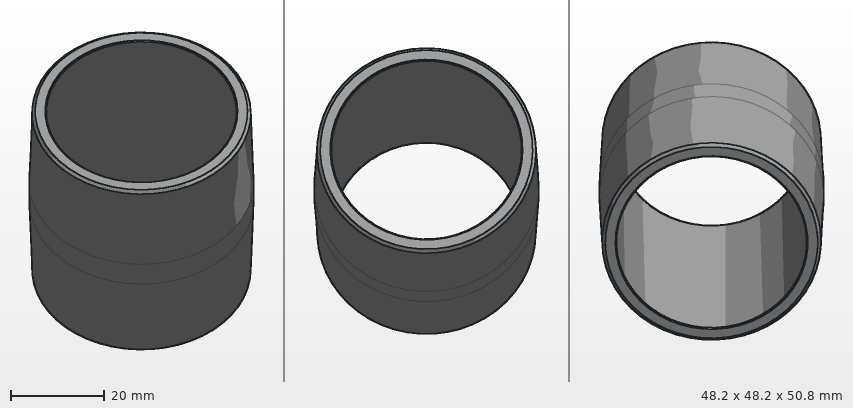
import cadquery as cq

height = 50.8
band_diameter = 48.25
bore_diameter = 40.85

band_bottom = 22.25
band_top = 28.55

end_diameter = 47.05
chamfer_width = 0.7
chamfer_height = 0.6
bore_chamfer = 0.25

band_radius = band_diameter / 2
end_radius = end_diameter / 2
bore_radius = bore_diameter / 2
rim_radius = end_radius - chamfer_width

section = (
    cq.Workplane("XZ")
    .moveTo(bore_radius + bore_chamfer, 0)
    .lineTo(rim_radius, 0)
    .lineTo(end_radius, chamfer_height)
    .lineTo(band_radius, band_bottom)
    .lineTo(band_radius, band_top)
    .lineTo(end_radius, height - chamfer_height)
    .lineTo(rim_radius, height)
    .lineTo(bore_radius + bore_chamfer, height)
    .lineTo(bore_radius, height - bore_chamfer)
    .lineTo(bore_radius, bore_chamfer)
    .close()
)

result = section.revolve(360, (0, 0, 0), (0, 1, 0))